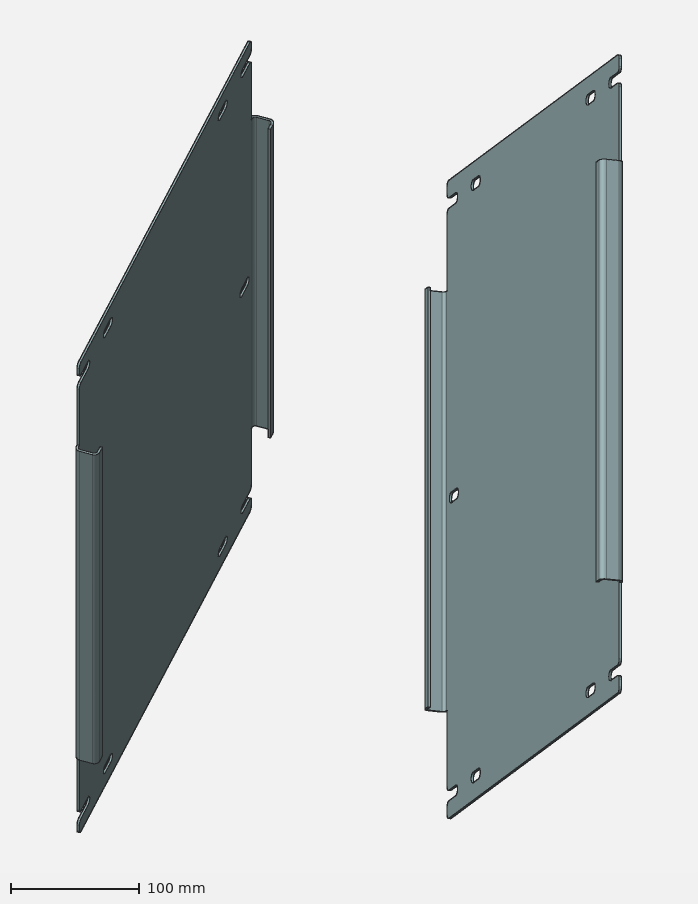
import cadquery as cq

panel_depth = 19.5
panel_width = 394.5
panel_height = 517.0

sheet = 2.0
bend_radius = 4.5
inner_bend_radius = bend_radius - sheet
lip_length = 10.5
flange_height = 340.0

plate_width = 382.5
corner_radius = 4.0

slot_width = 8.5
slot_length = 20.0
slot_row_z = 240.0
inner_slot_y = 127.5
middle_slot_y = 176.0
notch_end_y = 168.0

sides = (-1, 1)


def centered_block(depth, width, height):
    """Block starting at X = 0, centred on Y and Z."""
    return cq.Workplane("XY").box(depth, width, height, centered=(False, True, True))


def slot(center_y, center_z, length):
    """Cutter for a round-ended slot along Y through the plate."""
    return cq.Workplane("YZ").center(center_y, center_z).slot2D(length, slot_width).extrude(sheet)


def notch(side, row):
    """Cutter for a slot that runs out through the side edge of the plate."""
    length = plate_width - 2 * notch_end_y
    center_y = side * (notch_end_y + length / 2)
    return slot(center_y, row * slot_row_z, length).union(
        centered_block(sheet, length, slot_width).translate(
            (0, center_y + side * length / 2, row * slot_row_z)
        )
    )


def flat_plate():
    """Full-height plate, notched near its corners, with all outline corners rounded."""
    plate = centered_block(sheet, plate_width, panel_height)
    for side in sides:
        for row in sides:
            plate = plate.cut(notch(side, row))
    minus_y_corners = plate.faces("<Y").edges("|X")
    plus_y_corners = plate.faces(">Y").edges("|X")
    return plate.newObject(minus_y_corners.vals() + plus_y_corners.vals()).fillet(corner_radius)


def folded_channel():
    """C-shaped channel: the web lies in the plate, flanges and lips fold away toward +X."""
    outer = centered_block(panel_depth, panel_width, flange_height).edges("|Z").fillet(bend_radius)
    inner = (
        centered_block(panel_depth - 2 * sheet, panel_width - 2 * sheet, flange_height)
        .edges("|Z")
        .fillet(inner_bend_radius)
        .translate((sheet, 0, 0))
    )
    lip_gap = centered_block(panel_depth - sheet, panel_width - 2 * lip_length, flange_height)
    return outer.cut(inner).cut(lip_gap.translate((sheet, 0, 0)))


def slots():
    """Cutters for the six closed slots: one at mid height and two in the rows, per side."""
    cutters = []
    for side in sides:
        cutters.append(slot(side * middle_slot_y, 0, slot_length))
        for row in sides:
            cutters.append(slot(side * inner_slot_y, row * slot_row_z, slot_length))
    return cutters


result = flat_plate().union(folded_channel())
for cutter in slots():
    result = result.cut(cutter)